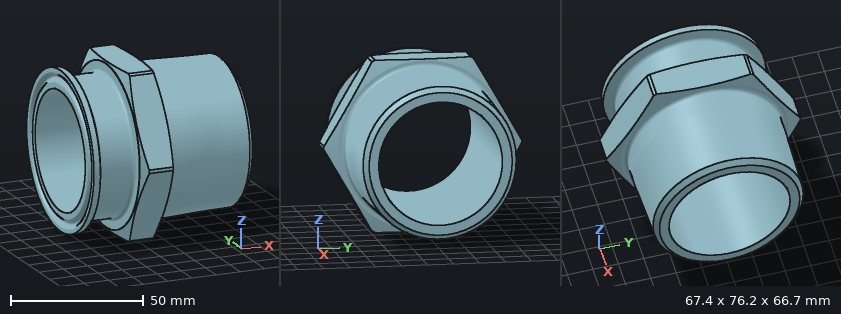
import cadquery as cq
import math

total_length = 67.4
bore_radius = 47.5 / 2

flange_radius = 63.9 / 2
flange_rim_width = 2.75
flange_back_angle = math.radians(20)
flange_fillet = 1.75

groove_radius = 28.1
groove_floor_arc = 1.2
groove_edge_arc = 0.85
groove_wall_length = 0.5
groove_wall_angle = math.radians(60)

neck_radius = 55.7 / 2
neck_fillet = 1.3

hex_start = 18.75
hex_end = 31.5
hex_across_flats = 66.7
hex_corner_radius = 38.1
hex_face_radius = 32.85
hex_chamfer_angle = math.radians(15)

seat_radius = 32.45
seat_height = 0.15

collar_radius = 60.6 / 2
collar_fillet = 1.5
taper_start = 40.55
taper_slope = 1 / 32
end_chamfer = 2.0


def make_turned_body():
    """Revolve the outer outline, including the seat beside the hexagon."""
    tangent = flange_fillet * math.tan((math.pi / 2 - flange_back_angle) / 2)
    corner_x = flange_rim_width + (flange_radius - neck_radius) * math.tan(flange_back_angle)
    slope_end = (
        corner_x - tangent * math.sin(flange_back_angle),
        neck_radius + tangent * math.cos(flange_back_angle),
    )
    neck_start = corner_x + tangent
    seat_face = hex_start - seat_height
    chamfer_start = total_length - end_chamfer
    taper_end_radius = collar_radius - (chamfer_start - taper_start) * taper_slope

    outline = (
        cq.Workplane("XY")
        .moveTo(0, 0)
        .lineTo(0, flange_radius)
        .lineTo(flange_rim_width, flange_radius)
        .lineTo(*slope_end)
        .radiusArc((neck_start, neck_radius), -flange_fillet)
        .lineTo(seat_face - neck_fillet, neck_radius)
        .radiusArc((seat_face, neck_radius + neck_fillet), -neck_fillet)
        .lineTo(seat_face, seat_radius)
        .lineTo(hex_end, seat_radius)
        .lineTo(hex_end, collar_radius + collar_fillet)
        .radiusArc((hex_end + collar_fillet, collar_radius), -collar_fillet)
        .lineTo(taper_start, collar_radius)
        .lineTo(chamfer_start, taper_end_radius)
        .lineTo(total_length, taper_end_radius - end_chamfer)
        .lineTo(total_length, 0)
        .close()
    )
    return outline.revolve(360, (0, 0, 0), (1, 0, 0))


def make_hexagon():
    """Hexagon with flats facing up and down, limited by a double-coned disc."""
    across_corners = hex_across_flats / math.cos(math.pi / 6)
    prism = (
        cq.Workplane("YZ", origin=(hex_start, 0, 0))
        .polygon(6, across_corners)
        .extrude(hex_end - hex_start)
    )
    chamfer_depth = (hex_corner_radius - hex_face_radius) * math.tan(hex_chamfer_angle)
    disc = (
        cq.Workplane("XY")
        .moveTo(hex_start, 0)
        .lineTo(hex_start, hex_face_radius)
        .lineTo(hex_start + chamfer_depth, hex_corner_radius)
        .lineTo(hex_end - chamfer_depth, hex_corner_radius)
        .lineTo(hex_end, hex_face_radius)
        .lineTo(hex_end, 0)
        .close()
        .revolve(360, (0, 0, 0), (1, 0, 0))
    )
    return prism.intersect(disc)


def make_groove():
    """Ring to cut away: a concave floor and straight walls between two convex edges."""
    sine = math.sin(groove_wall_angle)
    cosine = math.cos(groove_wall_angle)
    floor_half = groove_floor_arc * sine
    wall_top_half = floor_half + groove_wall_length * cosine
    mouth_half = wall_top_half + groove_edge_arc * sine
    wall_top_depth = groove_edge_arc * (1 - cosine)
    floor_edge_depth = wall_top_depth + groove_wall_length * sine
    return (
        cq.Workplane("XY")
        .moveTo(0, groove_radius - mouth_half)
        .radiusArc((wall_top_depth, groove_radius - wall_top_half), groove_edge_arc)
        .lineTo(floor_edge_depth, groove_radius - floor_half)
        .radiusArc((floor_edge_depth, groove_radius + floor_half), -groove_floor_arc)
        .lineTo(wall_top_depth, groove_radius + wall_top_half)
        .radiusArc((0, groove_radius + mouth_half), groove_edge_arc)
        .close()
        .revolve(360, (0, 0, 0), (1, 0, 0))
    )


bore = cq.Workplane("YZ").circle(bore_radius).extrude(total_length)

result = make_turned_body().union(make_hexagon()).cut(make_groove()).cut(bore)